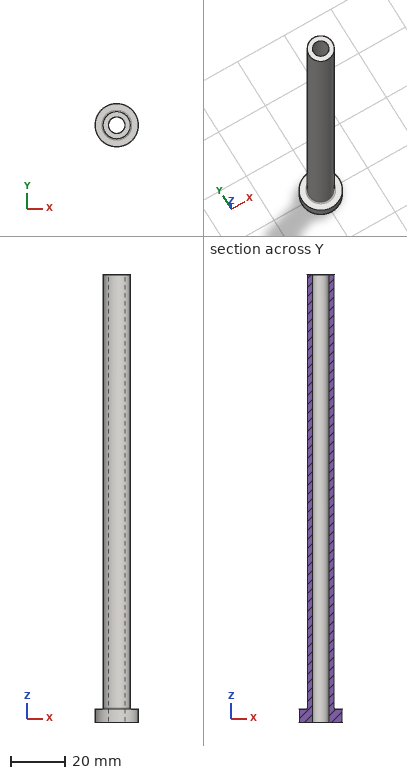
import cadquery as cq

overall_length = 165.0
head_diameter = 16.0
head_thickness = 5.0
shank_diameter = 10.0
bore_diameter = 6.0
neck_fillet_radius = 0.5

head_radius = head_diameter / 2
shank_radius = shank_diameter / 2
bore_radius = bore_diameter / 2


def make_sleeve():
    """Revolve the wall section, with a concave fillet where the shank meets the head."""
    return (
        cq.Workplane("XZ")
        .moveTo(bore_radius, 0)
        .lineTo(head_radius, 0)
        .lineTo(head_radius, head_thickness)
        .lineTo(shank_radius + neck_fillet_radius, head_thickness)
        .radiusArc((shank_radius, head_thickness + neck_fillet_radius), neck_fillet_radius)
        .lineTo(shank_radius, overall_length)
        .lineTo(bore_radius, overall_length)
        .close()
        .revolve(360, (0, 0), (0, 1))
    )


result = make_sleeve()